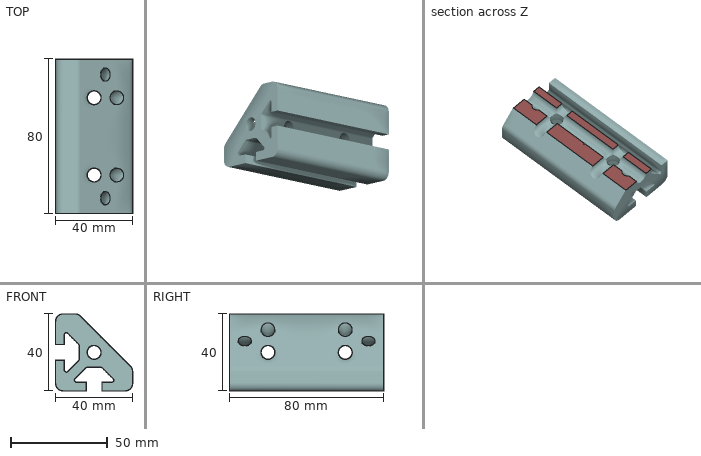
import cadquery as cq
import math

side = 40.0
length = 80.0
half = side / 2
bevel_start = 11.8
corner_radius = 4.0

slot_opening = 8.0
lip_thickness = 4.6
slot_depth = 12.2
slot_floor_width = 7.8
slot_floor_radius = 1.4
slot_tip_radius = 1.0

hole_diameter = 7.0
slope_hole_diameter = 6.8
cross_hole_spacing = 40.0
slope_hole_spacing = 64.0


def make_body():
    """Square bar with one sloping side and rounded long edges."""
    outline = [
        (-half, -half),
        (half, -half),
        (half, -half + bevel_start),
        (-half + bevel_start, half),
        (-half, half),
    ]
    bar = cq.Workplane("XZ").polyline(outline).close().extrude(length / 2, both=True)
    return bar.edges("|Y").fillet(corner_radius)


def make_slot():
    """Cutter for the slot in the -X side: a 45 degree pocket behind two lips."""
    lip_x = -half + lip_thickness
    floor_x = -half + slot_depth
    floor_z = slot_floor_width / 2
    tip_z = floor_z + slot_depth - lip_thickness
    pocket_outline = [(lip_x, -tip_z), (floor_x, -floor_z), (floor_x, floor_z), (lip_x, tip_z)]
    pocket = cq.Workplane("XZ").polyline(pocket_outline).close().extrude(length / 2, both=True)
    pocket = pocket.edges("|Y and >X").fillet(slot_floor_radius)
    pocket = pocket.edges("|Y and <X").fillet(slot_tip_radius)
    mouth = cq.Workplane("XY").box(lip_thickness, length, slot_opening)
    mouth = mouth.translate((-half + lip_thickness / 2, 0, 0))
    return pocket.union(mouth)


def drill(start, direction, depth, diameter=hole_diameter):
    """Round cutter running from start along direction."""
    return cq.Workplane(cq.Solid.makeCylinder(
        diameter / 2, depth, cq.Vector(*start), cq.Vector(*direction)))


side_slot = make_slot()
bottom_slot = side_slot.rotate((0, 0, 0), (1, 0, 1), 180)
result = make_body().cut(side_slot).cut(bottom_slot)

result = result.cut(drill((0, -length / 2, 0), (0, 1, 0), length))

for y in (-cross_hole_spacing / 2, cross_hole_spacing / 2):
    result = result.cut(drill((-half, y, 0), (1, 0, 0), side))
    result = result.cut(drill((0, y, -half), (0, 0, 1), side))

slope_distance = bevel_start / math.sqrt(2)
for y in (-slope_hole_spacing / 2, slope_hole_spacing / 2):
    result = result.cut(drill((0, y, 0), (1, 0, 1), slope_distance, slope_hole_diameter))